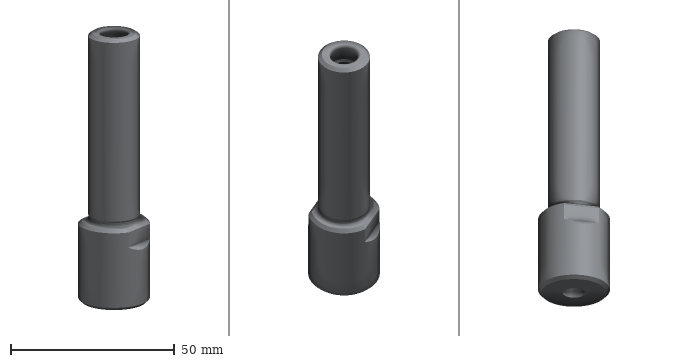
import cadquery as cq
import math

total_height = 86.0
body_diameter = 22.0
body_height = 26.0
shank_diameter = 15.9
edge_chamfer = 1.0

tip_diameter = 13.5
tip_bevel_height = 0.9

groove_diameter = 15.5
groove_fillet = 0.8
groove_land_height = 0.5
groove_taper_height = 0.5

across_flats = 19.0
flat_bottom = 20.0

bore_diameter = 6.9
counterbore_diameter = 8.5
mouth_diameter = 10.5
counterbore_depth = 5.2
floor_slope = 30

body_radius = body_diameter / 2
shank_radius = shank_diameter / 2
groove_radius = groove_diameter / 2
flat_offset = across_flats / 2


def turned_blank():
    """Solid of revolution: body, relief groove and shank."""
    land_bottom = body_height + groove_fillet
    land_top = land_bottom + groove_land_height
    return (
        cq.Workplane("XZ")
        .lineTo(body_radius - edge_chamfer, 0)
        .lineTo(body_radius, edge_chamfer)
        .lineTo(body_radius, body_height - edge_chamfer)
        .lineTo(body_radius - edge_chamfer, body_height)
        .lineTo(groove_radius + groove_fillet, body_height)
        .radiusArc((groove_radius, land_bottom), groove_fillet)
        .lineTo(groove_radius, land_top)
        .lineTo(shank_radius, land_top + groove_taper_height)
        .lineTo(shank_radius, total_height - tip_bevel_height)
        .lineTo(tip_diameter / 2, total_height)
        .lineTo(0, total_height)
        .close()
        .revolve(360, (0, 0, 0), (0, 1, 0))
    )


def flat_cutter():
    """Removes one +X flat with a 45 degree run-out below and a beveled top edge."""
    runout = body_radius - flat_offset
    return (
        cq.Workplane("XZ")
        .moveTo(flat_offset, flat_bottom)
        .lineTo(flat_offset, body_height - edge_chamfer)
        .lineTo(flat_offset - edge_chamfer, body_height)
        .lineTo(body_radius, body_height)
        .lineTo(body_radius, flat_bottom - runout)
        .close()
        .extrude(body_radius, both=True)
    )


def bore_cutter():
    """Through bore with a counterbore, conical floor and rounded mouth at the shank tip."""
    bore_radius = bore_diameter / 2
    counterbore_radius = counterbore_diameter / 2
    mouth_radius = mouth_diameter / 2
    mouth_fillet = mouth_radius - counterbore_radius
    floor_drop = (counterbore_radius - bore_radius) * math.tan(math.radians(floor_slope))
    counterbore_floor = total_height - counterbore_depth
    return (
        cq.Workplane("XZ")
        .lineTo(bore_radius, 0)
        .lineTo(bore_radius, counterbore_floor - floor_drop)
        .lineTo(counterbore_radius, counterbore_floor)
        .lineTo(counterbore_radius, total_height - mouth_fillet)
        .radiusArc((mouth_radius, total_height), mouth_fillet)
        .lineTo(0, total_height)
        .close()
        .revolve(360, (0, 0, 0), (0, 1, 0))
    )


result = turned_blank().cut(bore_cutter())
for side_angle in (0, 180):
    result = result.cut(flat_cutter().rotate((0, 0, 0), (0, 0, 1), side_angle))